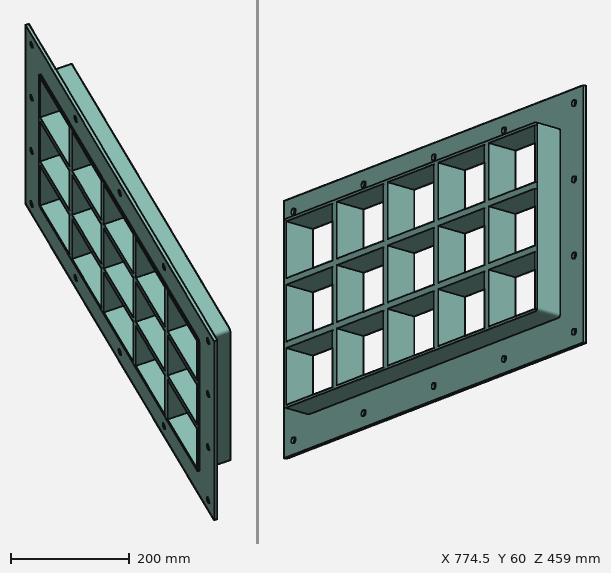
import cadquery as cq

FLANGE_WIDTH = 774.5
FLANGE_HEIGHT = 459.0
FLANGE_THICKNESS = 6.0

FRAME_DEPTH = 60.0
FRONT_PROJECTION = 2.0
COLUMNS = 5
ROWS = 3
WINDOW_WIDTH = 119.0
WINDOW_HEIGHT = 101.5
BAR_THICKNESS = 12.0
FRAME_WIDTH = 655.0
FRAME_HEIGHT = 338.0
CORNER_RADIUS = 6.0

HOLE_DIAMETER = 11.0
HOLE_MARGIN_X = 25.0
HOLE_MARGIN_Z = 25.5
HOLE_COLUMNS = 5
HOLE_ROWS = 4

cell_width = WINDOW_WIDTH + BAR_THICKNESS
cell_height = WINDOW_HEIGHT + BAR_THICKNESS
hole_pitch_x = (FLANGE_WIDTH - 2 * HOLE_MARGIN_X) / (HOLE_COLUMNS - 1)
hole_pitch_z = (FLANGE_HEIGHT - 2 * HOLE_MARGIN_Z) / (HOLE_ROWS - 1)


def sketch_plane(y):
    """XZ workplane at the given Y, extruding toward +Y; its local Y points to -Z."""
    return cq.Workplane(cq.Plane(origin=(0, y, 0), xDir=(1, 0, 0), normal=(0, 1, 0)))


def border_positions():
    """Centres of the bolt holes: the outer ring of a regular grid."""
    positions = []
    for column in range(HOLE_COLUMNS):
        for row in range(HOLE_ROWS):
            if column in (0, HOLE_COLUMNS - 1) or row in (0, HOLE_ROWS - 1):
                x = (column - (HOLE_COLUMNS - 1) / 2) * hole_pitch_x
                z = (row - (HOLE_ROWS - 1) / 2) * hole_pitch_z
                positions.append((x, z))
    return positions


def make_flange():
    """Flange with its ring of through holes; the front face lies at Y = 0."""
    plate = sketch_plane(0).rect(FLANGE_WIDTH, FLANGE_HEIGHT).extrude(FLANGE_THICKNESS)
    holes = (
        sketch_plane(0)
        .pushPoints(border_positions())
        .circle(HOLE_DIAMETER / 2)
        .extrude(FLANGE_THICKNESS)
    )
    return plate.cut(holes)


def make_frame():
    """Solid block of the grid frame with rounded outer corners."""
    block = sketch_plane(-FRONT_PROJECTION).rect(FRAME_WIDTH, FRAME_HEIGHT).extrude(FRAME_DEPTH)
    return block.edges("|Y").fillet(CORNER_RADIUS)


def make_windows():
    """Grid of rectangular openings through the full frame depth."""
    return (
        sketch_plane(-FRONT_PROJECTION)
        .rarray(cell_width, cell_height, COLUMNS, ROWS)
        .rect(WINDOW_WIDTH, WINDOW_HEIGHT)
        .extrude(FRAME_DEPTH)
    )


result = make_flange().union(make_frame()).cut(make_windows())